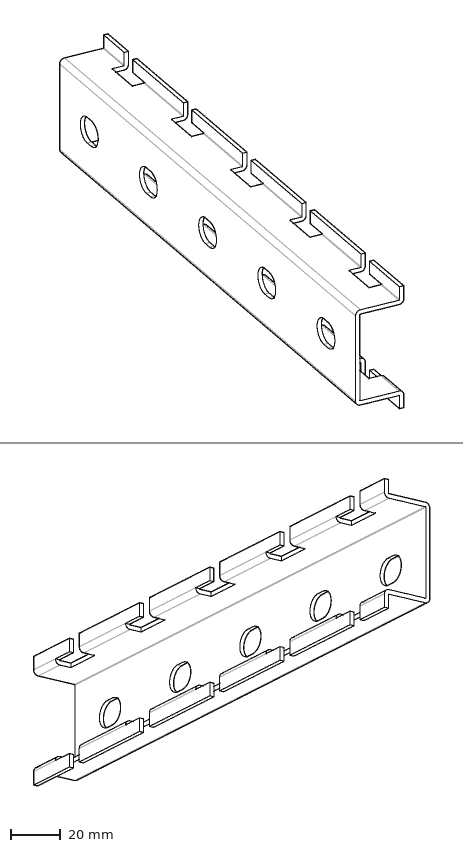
import cadquery as cq

length = 250.0
depth = 22.0
height = 55.0

thickness = 2.0
lip_height = 6.0
outer_bend_radius = 2.2
inner_bend_radius = outer_bend_radius - thickness
channel_height = height - 2 * lip_height

pitch = 50.0
pattern_count = 5

hole_length = 15.0
hole_height = 11.5

slot_start = -hole_length / 2
lip_gap = 7.0
window_length = 17.0
window_floor = 7.5

web_face = -depth / 2
lip_back = depth / 2
lip_front = lip_back - thickness
half_channel = channel_height / 2

pattern_centres = [(i - (pattern_count - 1) / 2) * pitch for i in range(pattern_count)]


def box(x_range, y_range, z_range):
    """Box spanning the given (low, high) ranges."""
    low, high = zip(x_range, y_range, z_range)
    size = [b - a for a, b in zip(low, high)]
    return cq.Workplane("XY").box(*size, centered=False).translate(low)


def round_edges(body, places, radius):
    """Fillet the lengthwise edges at the given (y, z) places, mirrored about Z = 0."""
    for y, z in places:
        for side in (1, -1):
            body = body.edges(cq.selectors.NearestToPointSelector((0, y, side * z))).fillet(radius)
    return body


def make_section():
    """Hat section: web at -Y, two flanges and two outward lips at +Y."""
    inner_z = half_channel - thickness
    web_back = web_face + thickness
    upper = [
        (lip_back, inner_z),
        (lip_back, height / 2),
        (lip_front, height / 2),
        (lip_front, half_channel),
        (web_face, half_channel),
    ]
    lower = [(y, -z) for y, z in reversed(upper)]
    inside = [(web_back, -inner_z), (web_back, inner_z)]
    body = (
        cq.Workplane("YZ")
        .polyline(upper + lower + inside)
        .close()
        .extrude(length / 2, both=True)
    )
    body = round_edges(body, [(web_face, half_channel), (lip_back, inner_z)], outer_bend_radius)
    return round_edges(body, [(web_back, inner_z), (lip_front, half_channel)], inner_bend_radius)


def make_web_holes():
    return (
        cq.Workplane("XZ", origin=(0, web_face + thickness, 0))
        .pushPoints([(x, 0) for x in pattern_centres])
        .slot2D(hole_length, hole_height)
        .extrude(thickness)
    )


def make_hook_slot(centre):
    """L-shaped cutter through both flanges and lips; the lips overhang the window."""
    start = centre + slot_start
    slot_depth = (lip_back - window_floor, lip_back)
    bend_top = half_channel + inner_bend_radius
    gap = box((start, start + lip_gap), slot_depth, (-height / 2, height / 2))
    window = box((start, start + window_length), slot_depth, (-bend_top, bend_top))
    return gap.union(window)


result = make_section().cut(make_web_holes())
for centre in pattern_centres:
    result = result.cut(make_hook_slot(centre))